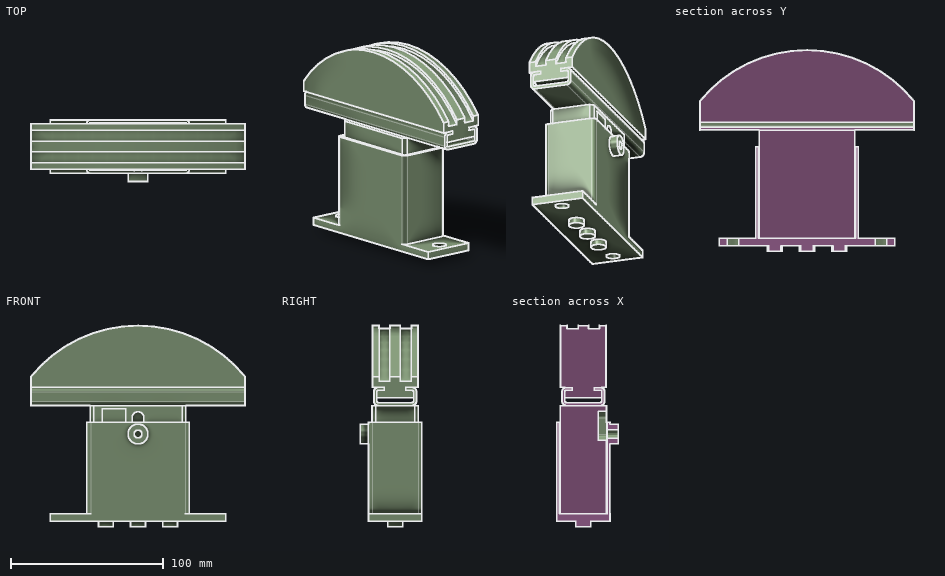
import cadquery as cq
import math

FOOT_HEIGHT = 3.6
FOOT_DIAMETER = 10.0
FOOT_SPACING = 21.0
FLANGE_LENGTH = 115.0
FLANGE_THICKNESS = 5.0
MOUNT_HOLE_DIAMETER = 9.0
MOUNT_HOLE_SPACING = 96.9
TUBE_LENGTH = 67.0
TUBE_WIDTH = 35.0
TUBE_HEIGHT = 59.9
WALL = 2.0
TUBE_CORNER_RADIUS = 2.5
BOSS_DIAMETER = 13.0
BOSS_LENGTH = 5.5
BOSS_HOLE_DIAMETER = 5.2
BOSS_DROP = 7.8

SLIDER_CLEARANCE = 0.35
SLIDER_RISE = 10.8
SLIDER_CHAMFER = 2.4
SLOT_WIDTH = 7.8
SLOT_DEPTH = 5.3
SLOT_TOP_DROP = 4.0

INSERT_SIZE = 15.1
INSERT_DEPTH = 2.5
INSERT_X = -15.7
INSERT_TOP_DROP = 2.2

RAIL_LENGTH = 140.0
RAIL_WIDTH = 28.0
RAIL_HEIGHT = 11.9
RAIL_WALL = 2.0
RAIL_OUTER_RADIUS = 3.0
RAIL_INNER_RADIUS = RAIL_OUTER_RADIUS - RAIL_WALL
RAIL_GAP = 14.0

GUIDE_WIDTH = 30.0
GUIDE_END_HEIGHT = 7.0
GUIDE_ARC_RADIUS = 90.0
GROOVE_WIDTH = 7.1
GROOVE_DEPTH = 2.0
GROOVE_SPACING = 14.0
TONGUE_THICKNESS = 4.9

FLANGE_TOP = FOOT_HEIGHT + FLANGE_THICKNESS
TUBE_TOP = FLANGE_TOP + TUBE_HEIGHT
BOSS_Z = TUBE_TOP - BOSS_DROP
SLIDER_TOP = TUBE_TOP + SLIDER_RISE
RAIL_TOP = SLIDER_TOP + RAIL_HEIGHT
CAVITY_LENGTH = TUBE_LENGTH - 2 * WALL
CAVITY_WIDTH = TUBE_WIDTH - 2 * WALL
SLIDER_LENGTH = CAVITY_LENGTH - 2 * SLIDER_CLEARANCE
SLIDER_WIDTH = CAVITY_WIDTH - 2 * SLIDER_CLEARANCE
SLIDER_FRONT = -SLIDER_WIDTH / 2
RAIL_CAVITY_WIDTH = RAIL_WIDTH - 2 * RAIL_WALL
RAIL_CAVITY_HEIGHT = RAIL_HEIGHT - 2 * RAIL_WALL


def block(length, width, height, bottom):
    """Box centred on the Z axis, standing on the level `bottom`."""
    return cq.Workplane("XY", origin=(0, 0, bottom)).box(length, width, height, centered=(True, True, False))


def front_plane(y):
    """XZ sketch plane at depth y; extruding by a positive length goes toward -Y."""
    return cq.Workplane("XZ", origin=(0, y, 0))


def make_housing():
    flange = block(FLANGE_LENGTH, TUBE_WIDTH, FLANGE_THICKNESS, FOOT_HEIGHT)
    mount_holes = (
        cq.Workplane("XY", origin=(0, 0, FOOT_HEIGHT))
        .rarray(MOUNT_HOLE_SPACING, 1.4, 2, 1)
        .circle(MOUNT_HOLE_DIAMETER / 2)
        .extrude(FLANGE_THICKNESS)
    )
    tube = block(TUBE_LENGTH, TUBE_WIDTH, TUBE_HEIGHT, FLANGE_TOP).edges("|Z").fillet(TUBE_CORNER_RADIUS)
    feet = cq.Workplane("XY").rarray(FOOT_SPACING, 1.4, 3, 1).circle(FOOT_DIAMETER / 2).extrude(FOOT_HEIGHT)
    tube_front = -TUBE_WIDTH / 2
    boss = front_plane(tube_front).center(0, BOSS_Z).circle(BOSS_DIAMETER / 2).extrude(BOSS_LENGTH)
    cavity = block(CAVITY_LENGTH, CAVITY_WIDTH, TUBE_HEIGHT, FLANGE_TOP)
    cavity = cavity.edges("|Z").fillet(TUBE_CORNER_RADIUS - WALL)
    screw_hole = (
        front_plane(tube_front + WALL)
        .center(0, BOSS_Z)
        .circle(BOSS_HOLE_DIAMETER / 2)
        .extrude(WALL + BOSS_LENGTH)
    )
    solid_housing = flange.cut(mount_holes).union(tube).union(feet).union(boss)
    return solid_housing.cut(cavity).cut(screw_hole)


def make_insert():
    insert_z = SLIDER_TOP - INSERT_TOP_DROP - INSERT_SIZE / 2
    return (
        front_plane(SLIDER_FRONT + INSERT_DEPTH)
        .center(INSERT_X, insert_z)
        .rect(INSERT_SIZE, INSERT_SIZE)
        .extrude(INSERT_DEPTH)
    )


def make_slider(insert):
    body = block(SLIDER_LENGTH, SLIDER_WIDTH, SLIDER_TOP - FLANGE_TOP, FLANGE_TOP)
    body = body.edges("|Z").chamfer(SLIDER_CHAMFER)
    slot_top = SLIDER_TOP - SLOT_TOP_DROP
    slot_bottom = BOSS_Z - SLOT_WIDTH / 2
    slot = (
        front_plane(SLIDER_FRONT + SLOT_DEPTH)
        .center(0, (slot_top + slot_bottom) / 2)
        .slot2D(slot_top - slot_bottom, SLOT_WIDTH, angle=90)
        .extrude(SLOT_DEPTH)
    )
    return body.cut(slot).cut(insert)


def make_rail():
    outside = block(RAIL_LENGTH, RAIL_WIDTH, RAIL_HEIGHT, SLIDER_TOP)
    outside = outside.edges("|X").fillet(RAIL_OUTER_RADIUS)
    inside = block(RAIL_LENGTH, RAIL_CAVITY_WIDTH, RAIL_CAVITY_HEIGHT, SLIDER_TOP + RAIL_WALL)
    inside = inside.edges("|X").fillet(RAIL_INNER_RADIUS)
    gap = block(RAIL_LENGTH, RAIL_GAP, RAIL_WALL, RAIL_TOP - RAIL_WALL)
    return outside.cut(inside).cut(gap)


def arched_profile(radius, width):
    """Flat-bottomed slab, centred on Y, whose top is an arc about the guide's arc centre."""
    half_length = RAIL_LENGTH / 2
    arc_centre_z = RAIL_TOP + GUIDE_END_HEIGHT - math.sqrt(GUIDE_ARC_RADIUS**2 - half_length**2)
    end_z = arc_centre_z + math.sqrt(radius**2 - half_length**2)
    return (
        front_plane(width / 2)
        .moveTo(-half_length, RAIL_TOP)
        .lineTo(-half_length, end_z)
        .threePointArc((0, arc_centre_z + radius), (half_length, end_z))
        .lineTo(half_length, RAIL_TOP)
        .close()
        .extrude(width)
    )


def make_guide():
    body = arched_profile(GUIDE_ARC_RADIUS, GUIDE_WIDTH)
    groove_floor = arched_profile(GUIDE_ARC_RADIUS - GROOVE_DEPTH, GROOVE_WIDTH)
    groove = arched_profile(GUIDE_ARC_RADIUS, GROOVE_WIDTH).cut(groove_floor)
    for side in (-1, 1):
        body = body.cut(groove.translate((0, side * GROOVE_SPACING / 2, 0)))
    neck = block(RAIL_LENGTH, RAIL_GAP, RAIL_WALL, RAIL_TOP - RAIL_WALL)
    tongue = block(RAIL_LENGTH, RAIL_CAVITY_WIDTH, TONGUE_THICKNESS, RAIL_TOP - RAIL_WALL - TONGUE_THICKNESS)
    tongue = tongue.edges("|X and >Z").fillet(RAIL_INNER_RADIUS)
    return body.union(neck).union(tongue)


housing = make_housing()
insert = make_insert()
slider = make_slider(insert)
rail = make_rail()
guide = make_guide()

result = cq.Compound.makeCompound(
    [housing.val(), slider.val(), insert.val(), rail.val(), guide.val()]
)